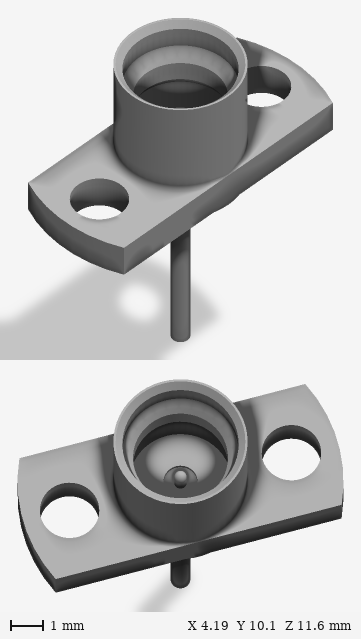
import cadquery as cq

total_height = 11.61
body_top = 4.62
boss_height = 0.1
flange_top = 1.25

flange_width = 4.19
flange_length = 10.12
hole_diameter = 1.85
hole_spacing = 7.15

body_diameter = 4.17
boss_diameter = 4.19
base_fillet = 0.13

mouth_diameter = 4.03
entry_diameter = 3.61
throat_diameter = 2.95
undercut_diameter = 3.17
mouth_depth = 0.21
entry_depth = 0.92
throat_start_depth = 1.36
undercut_depth = 2.04
undercut_full_depth = 2.25
socket_depth = body_top - flange_top
recess_diameter = 1.06
recess_depth = 0.12

contact_diameter = 0.38
contact_height = 0.58
tail_diameter = 0.62
tail_length = total_height - body_top


def cylinder(diameter, bottom, height):
    return cq.Workplane("XY").workplane(offset=bottom).circle(diameter / 2).extrude(height)


def make_flange():
    """Plate with straight sides and round ends, pierced by two mounting holes."""
    thickness = flange_top - boss_height
    disc = cylinder(flange_length, boss_height, thickness)
    strip = (
        cq.Workplane("XY")
        .workplane(offset=boss_height)
        .rect(flange_width, flange_length)
        .extrude(thickness)
    )
    holes = (
        cq.Workplane("XY")
        .workplane(offset=boss_height)
        .pushPoints([(0, -hole_spacing / 2), (0, hole_spacing / 2)])
        .circle(hole_diameter / 2)
        .extrude(thickness)
    )
    return disc.intersect(strip).cut(holes)


def make_filleted_mount():
    """Flange and body joined by a concave fillet that runs out at the flange sides."""
    body = cylinder(body_diameter, 0, body_top)
    base_edge_zone = cq.selectors.BoxSelector(
        (-body_diameter, -body_diameter / 4, flange_top - base_fillet),
        (body_diameter, body_diameter / 4, flange_top + base_fillet),
    )
    joined = make_flange().union(body)
    return joined.edges("%CIRCLE").edges(base_edge_zone).fillet(base_fillet)


def make_socket():
    """Void with a chamfered mouth, tapered throat, flared undercut and floor recess."""
    steps = [
        (mouth_diameter, 0),
        (entry_diameter, mouth_depth),
        (entry_diameter, entry_depth),
        (throat_diameter, throat_start_depth),
        (throat_diameter, undercut_depth),
        (undercut_diameter, undercut_full_depth),
        (undercut_diameter, socket_depth),
        (recess_diameter, socket_depth),
        (recess_diameter, socket_depth + recess_depth),
    ]
    wall = [(diameter / 2, body_top - depth) for diameter, depth in steps]
    axis_ends = [(0, body_top - socket_depth - recess_depth), (0, body_top)]
    return cq.Workplane("XZ").polyline(wall + axis_ends).close().revolve(360, (0, 0), (0, 1))


def make_contact():
    """Center pin with a hemispherical tip rising from the recess in the socket floor."""
    floor = body_top - socket_depth
    tip_radius = contact_diameter / 2
    shank_height = contact_height - tip_radius
    shank = cylinder(contact_diameter, floor - recess_depth, shank_height + recess_depth)
    tip = cq.Workplane("XY").sphere(tip_radius).translate((0, 0, floor + shank_height))
    return shank.union(tip)


boss = cylinder(boss_diameter, 0, boss_height)
tail = cylinder(tail_diameter, -tail_length, tail_length)

shell = make_filleted_mount().union(boss)
result = shell.cut(make_socket()).union(make_contact()).union(tail)